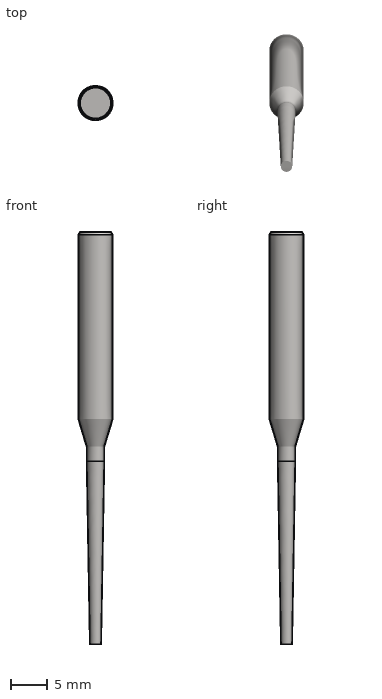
import cadquery as cq
import math

overall_length = 57.2
shank_diameter = 4.78
top_chamfer_width = 0.25
top_chamfer_height = 0.4
shoulder_length = 3.8
neck_length = 2.05

taper_length = 25.4
taper_end_diameter = 1.5875
taper_half_angle = 1.0

shank_radius = shank_diameter / 2
taper_end_radius = taper_end_diameter / 2
neck_radius = taper_end_radius + taper_length * math.tan(math.radians(taper_half_angle))

neck_bottom = taper_length
neck_top = neck_bottom + neck_length
shoulder_top = neck_top + shoulder_length


def make_shank():
    """Turned shank, revolved about Z from its half profile."""
    half_profile = [
        (0, neck_bottom),
        (neck_radius, neck_bottom),
        (neck_radius, neck_top),
        (shank_radius, shoulder_top),
        (shank_radius, overall_length - top_chamfer_height),
        (shank_radius - top_chamfer_width, overall_length),
        (0, overall_length),
    ]
    return cq.Workplane("XZ").polyline(half_profile).close().revolve(360, (0, 0), (0, 1))


def make_tapered_tip():
    """Slender cone that meets the neck at its full diameter."""
    half_profile = [
        (0, 0),
        (taper_end_radius, 0),
        (neck_radius, neck_bottom),
        (0, neck_bottom),
    ]
    return cq.Workplane("XZ").polyline(half_profile).close().revolve(360, (0, 0), (0, 1))


shank = make_shank()
tapered_tip = make_tapered_tip()

result = cq.Compound.makeCompound([shank.val(), tapered_tip.val()])